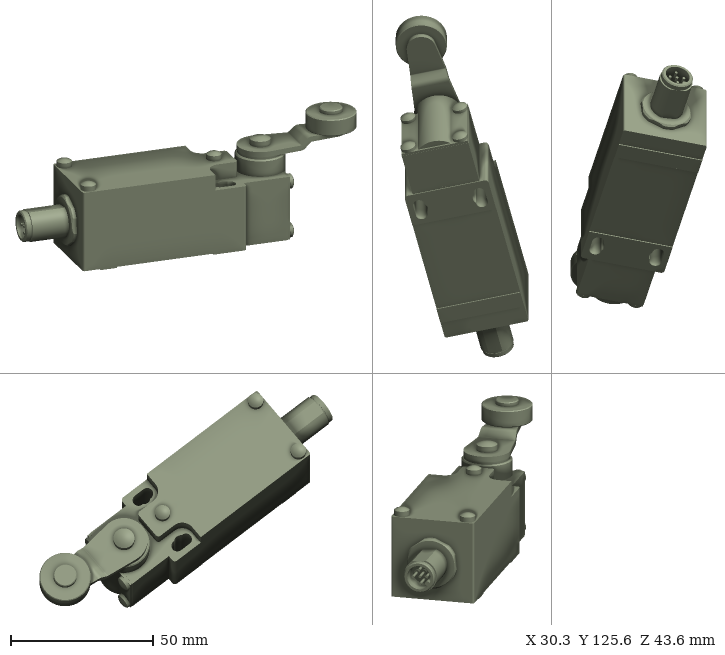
import cadquery as cq
import math


HOUSING_WIDTH = 30.3
HOUSING_LENGTH = 61.6
HOUSING_HEIGHT = 29.6
EDGE_RADIUS = 0.7
EAR_EDGE_RADIUS = 1.2
FOOT_HEIGHT = 0.4
EAR_FOOT_LENGTH = 12.6
STRIP_FOOT_LENGTH = 6.0
STRIP_FOOT_Y = 9.7

EAR_LENGTH = 11.9
TAB_WIDTH = 11.7
RECESS_RADIUS = 4.5
SLOT_X = 10.9
SLOT_Y = 54.9
SLOT_WIDTH = 4.2
SLOT_LENGTH = 8.1
SLOT_HOLE_X = 10.55
SLOT_HOLE_DIAMETER = 4.9

SCREW_RADIUS = 2.7
SCREW_SIDE = 1.9
SCREW_DOME = 0.95
COVER_SCREWS = [(-12.0, 3.1), (12.0, 3.1), (0.0, 54.8)]

HEAD_WIDTH = 24.1
HEAD_HEIGHT = 23.8
HEAD_START = 62.2
HEAD_END = 78.1
PLATE_THICKNESS = 0.9
PLATE_INSET = 0.1
PLATE_SCREW_SIDE = 1.2
POST_LENGTH = 2.7
POST_HEIGHT = 5.8
POST_WIDTH = (HEAD_WIDTH - TAB_WIDTH) / 2
COLLAR_RADIUS = 9.0
COLLAR_BOTTOM = 0.7
COLLAR_TOP = 30.0
COLLAR_CHAMFER = 0.4

HUB_Y = 72.2
LEVER_LENGTH = 26.6
ROLLER_Y = HUB_Y + LEVER_LENGTH
HUB_RADIUS = 8.3
WASHER_RADIUS = 8.1
TIP_RADIUS = 5.15
ARM_BOTTOM = 30.9
ARM_THICKNESS = 1.95
ARM_RISE = 2.65
BEND_START = 12.9
BEND_END = 15.9
BEND_OFFSET = 0.9
BEND_RADIUS = 2.4
INNER_BEND_RADIUS = BEND_RADIUS - ARM_THICKNESS
BOLT_RADIUS = 3.7
BOLT_SIDE = 2.1
BOLT_DOME = 1.0
ROLLER_RADIUS = 9.0
ROLLER_THICKNESS = 6.1
ROLLER_CHAMFER = 0.3
PIN_RADIUS = 4.1
LEVER_TOP = 43.6 - FOOT_HEIGHT

CONNECTOR_Z = 13.9
CONNECTOR_TILT = 6.0
NUT_THICKNESS = 1.9
NUT_RADIUS = 9.2
NUT_FLATS = 17.5
NUT_CHAMFER = 0.6
PLUG_RADIUS = 5.95
PLUG_FLATS = 10.8
PLUG_END = 15.5
PLUG_TIP = 17.8
NECK_RADIUS = 5.4
NECK_LENGTH = 0.5
TIP_RING_RADIUS = 5.6
TIP_CHAMFER = 0.4
SOCKET_RADIUS = 4.3
SOCKET_DEPTH = 7.0
CONTACT_RADIUS = 0.5
CONTACT_BASE_RADIUS = 1.05
CONTACT_BASE_HEIGHT = 1.0
CONTACT_CIRCLE_RADIUS = 2.5
CONTACT_LENGTH = 6.0
KEY_RADIUS = 0.85
KEY_CIRCLE_RADIUS = 3.6
KEY_ANGLE = -45.0


def block(x_min, x_max, y_min, y_max, z_min, z_max):
    """Box between the given limits."""
    size = (x_max - x_min, y_max - y_min, z_max - z_min)
    return cq.Workplane("XY").box(*size, centered=False).translate((x_min, y_min, z_min))


def centred_block(width, y_min, y_max, z_min, z_max):
    """Box that is symmetric about the middle plane."""
    return block(-width / 2, width / 2, y_min, y_max, z_min, z_max)


def disc(radius, x, y, z_min, z_max):
    """Upright cylinder."""
    return cq.Workplane("XY", origin=(x, y, z_min)).circle(radius).extrude(z_max - z_min)


def domed_stud(radius, side, dome):
    """Upright round head at the origin with a spherical top."""
    sphere_radius = (radius ** 2 + dome ** 2) / (2 * dome)
    half_radius = radius / 2
    half_height = side + dome - sphere_radius + math.sqrt(sphere_radius ** 2 - half_radius ** 2)
    return (
        cq.Workplane("XZ")
        .lineTo(radius, 0)
        .lineTo(radius, side)
        .threePointArc((half_radius, half_height), (0, side + dome))
        .close()
        .revolve(360, (0, 0, 0), (0, 1, 0))
    )


def ear_recess():
    """Open corner above the ear on the +X side."""
    recess_start = HOUSING_LENGTH - EAR_LENGTH
    recess = block(
        TAB_WIDTH / 2, HOUSING_WIDTH, recess_start, 2 * HOUSING_LENGTH, HEAD_HEIGHT, 2 * HOUSING_HEIGHT
    )
    inner_corner = cq.selectors.NearestToPointSelector((TAB_WIDTH / 2, recess_start, 1.5 * HOUSING_HEIGHT))
    return recess.edges(inner_corner).fillet(RECESS_RADIUS)


def ear_slot():
    """Mounting slot on the +X side, with a round hole at its middle."""
    slot = (
        cq.Workplane("XY", origin=(SLOT_X, SLOT_Y, 0))
        .slot2D(SLOT_LENGTH, SLOT_WIDTH, 90)
        .extrude(2 * HOUSING_HEIGHT, both=True)
    )
    hole = disc(SLOT_HOLE_DIAMETER / 2, SLOT_HOLE_X, SLOT_Y, -HOUSING_HEIGHT, 2 * HOUSING_HEIGHT)
    return slot.union(hole)


def joint_posts():
    """Four corner posts of the housing that reach into the actuator head."""
    posts = cq.Workplane("XY")
    inner = HEAD_WIDTH / 2 - POST_WIDTH
    for z in (0, HEAD_HEIGHT - POST_HEIGHT):
        post = block(inner, HEAD_WIDTH / 2, HEAD_START, HEAD_START + POST_LENGTH, z, z + POST_HEIGHT)
        posts = posts.add(post).add(post.mirror("YZ"))
    return posts.combine()


def make_housing():
    body = centred_block(HOUSING_WIDTH, 0, HOUSING_LENGTH, 0, HOUSING_HEIGHT)
    ear_foot = centred_block(
        HOUSING_WIDTH, HOUSING_LENGTH - EAR_FOOT_LENGTH, HOUSING_LENGTH, -FOOT_HEIGHT, 0
    )
    body = body.union(ear_foot)
    body = body.edges("|Z and <Y").fillet(EDGE_RADIUS)
    body = body.edges("|Z and >Y").fillet(EAR_EDGE_RADIUS)
    strip_foot = centred_block(
        HOUSING_WIDTH,
        STRIP_FOOT_Y - STRIP_FOOT_LENGTH / 2,
        STRIP_FOOT_Y + STRIP_FOOT_LENGTH / 2,
        -FOOT_HEIGHT,
        0,
    )
    body = body.union(strip_foot)
    recess = ear_recess()
    body = body.cut(recess).cut(recess.mirror("YZ"))
    tab_corners = cq.selectors.BoxSelector(
        (-HEAD_WIDTH / 2, HOUSING_LENGTH - EAR_EDGE_RADIUS, HEAD_HEIGHT),
        (HEAD_WIDTH / 2, HOUSING_LENGTH + EAR_EDGE_RADIUS, HOUSING_HEIGHT),
    )
    body = body.edges(tab_corners).edges("|Z").fillet(EAR_EDGE_RADIUS)
    body = body.union(centred_block(HEAD_WIDTH, HOUSING_LENGTH, HEAD_START, 0, HEAD_HEIGHT))
    body = body.union(joint_posts())
    slot = ear_slot()
    body = body.cut(slot).cut(slot.mirror("YZ"))
    for x, y in COVER_SCREWS:
        screw = domed_stud(SCREW_RADIUS, SCREW_SIDE, SCREW_DOME)
        body = body.union(screw.translate((x, y, HOUSING_HEIGHT)))
    return body


def make_head():
    body = centred_block(HEAD_WIDTH, HEAD_START, HEAD_END, 0, HEAD_HEIGHT).cut(joint_posts())
    plate_end = HEAD_END + PLATE_THICKNESS
    plate = centred_block(
        HEAD_WIDTH - 2 * PLATE_INSET, HEAD_END, plate_end, PLATE_INSET, HEAD_HEIGHT - PLATE_INSET
    )
    collar = disc(COLLAR_RADIUS, 0, HUB_Y, COLLAR_BOTTOM, COLLAR_TOP)
    collar = collar.faces(">Z").edges().chamfer(COLLAR_CHAMFER)
    body = body.union(plate).union(collar)
    screw = domed_stud(SCREW_RADIUS, PLATE_SCREW_SIDE, SCREW_DOME).rotate((0, 0, 0), (1, 0, 0), -90)
    screw_x = HEAD_WIDTH / 2 - SCREW_RADIUS
    for x in (-screw_x, screw_x):
        for z in (SCREW_RADIUS, HEAD_HEIGHT - SCREW_RADIUS):
            body = body.union(screw.translate((x, plate_end, z)))
    return body


def arm_outline():
    """Plan of the arm: hub and tip arcs joined by their common tangents."""
    sine = (HUB_RADIUS - TIP_RADIUS) / LEVER_LENGTH
    cosine = math.sqrt(1 - sine ** 2)
    hub_x = HUB_RADIUS * cosine
    hub_y = HUB_Y + HUB_RADIUS * sine
    tip_x = TIP_RADIUS * cosine
    tip_y = ROLLER_Y + TIP_RADIUS * sine
    return (
        cq.Workplane("XY")
        .moveTo(hub_x, hub_y)
        .lineTo(tip_x, tip_y)
        .threePointArc((0, ROLLER_Y + TIP_RADIUS), (-tip_x, tip_y))
        .lineTo(-hub_x, hub_y)
        .threePointArc((0, HUB_Y - HUB_RADIUS), (hub_x, hub_y))
        .close()
        .extrude(LEVER_TOP)
    )


def make_arm():
    """Flat arm with a step up to the roller, with rounded bends."""
    low_top = ARM_BOTTOM + ARM_THICKNESS
    start = HUB_Y - 2 * HUB_RADIUS
    end = ROLLER_Y + 2 * TIP_RADIUS
    upper_bend_y = HUB_Y + BEND_END
    lower_bend_y = HUB_Y + BEND_START + BEND_OFFSET
    side = (
        cq.Workplane("YZ")
        .moveTo(start, ARM_BOTTOM)
        .lineTo(lower_bend_y, ARM_BOTTOM)
        .lineTo(upper_bend_y + BEND_OFFSET, ARM_BOTTOM + ARM_RISE)
        .lineTo(end, ARM_BOTTOM + ARM_RISE)
        .lineTo(end, low_top + ARM_RISE)
        .lineTo(upper_bend_y, low_top + ARM_RISE)
        .lineTo(HUB_Y + BEND_START, low_top)
        .lineTo(start, low_top)
        .close()
        .extrude(HOUSING_WIDTH, both=True)
    )
    bends = [
        (upper_bend_y, low_top + ARM_RISE, BEND_RADIUS),
        (upper_bend_y + BEND_OFFSET, ARM_BOTTOM + ARM_RISE, INNER_BEND_RADIUS),
        (lower_bend_y, ARM_BOTTOM, BEND_RADIUS),
        (HUB_Y + BEND_START, low_top, INNER_BEND_RADIUS),
    ]
    for y, z, radius in bends:
        side = side.edges(cq.selectors.NearestToPointSelector((0, y, z))).fillet(radius)
    return side.intersect(arm_outline())


def make_lever():
    roller_bottom = ARM_BOTTOM + ARM_THICKNESS + ARM_RISE
    roller_top = roller_bottom + ROLLER_THICKNESS
    roller = disc(ROLLER_RADIUS, 0, ROLLER_Y, roller_bottom, roller_top)
    roller = roller.edges("%CIRCLE").chamfer(ROLLER_CHAMFER)
    pin = disc(PIN_RADIUS, 0, ROLLER_Y, roller_top, LEVER_TOP)
    pin = pin.faces(">Z").edges().chamfer(ROLLER_CHAMFER)
    washer = disc(WASHER_RADIUS, 0, HUB_Y, COLLAR_TOP, ARM_BOTTOM)
    bolt = domed_stud(BOLT_RADIUS, BOLT_SIDE, BOLT_DOME)
    bolt = bolt.translate((0, HUB_Y, ARM_BOTTOM + ARM_THICKNESS))
    return make_arm().union(washer).union(bolt).union(roller).union(pin)


def make_connector():
    """Nut, plug and contacts, built upright and then laid along -Y."""
    nut = disc(NUT_RADIUS, 0, 0, 0, NUT_THICKNESS).faces(">Z").edges().chamfer(NUT_CHAMFER)
    hexagon = (
        cq.Workplane("XY")
        .polygon(6, NUT_FLATS, circumscribed=True)
        .extrude(NUT_THICKNESS)
    )
    nut = nut.intersect(hexagon)
    flats = centred_block(2 * NUT_RADIUS, -PLUG_FLATS / 2, PLUG_FLATS / 2, NUT_THICKNESS, PLUG_END)
    plug = disc(PLUG_RADIUS, 0, 0, NUT_THICKNESS, PLUG_END).intersect(flats)
    neck = disc(NECK_RADIUS, 0, 0, PLUG_END, PLUG_END + NECK_LENGTH)
    tip = disc(TIP_RING_RADIUS, 0, 0, PLUG_END + NECK_LENGTH, PLUG_TIP)
    tip = tip.faces(">Z").edges().chamfer(TIP_CHAMFER)
    body = nut.union(plug).union(neck).union(tip)
    floor = PLUG_TIP - SOCKET_DEPTH
    body = body.cut(disc(SOCKET_RADIUS, 0, 0, floor, PLUG_TIP))
    key_x = KEY_CIRCLE_RADIUS * math.cos(math.radians(KEY_ANGLE))
    key_y = KEY_CIRCLE_RADIUS * math.sin(math.radians(KEY_ANGLE))
    body = body.union(disc(KEY_RADIUS, key_x, key_y, floor, floor + CONTACT_LENGTH))
    contacts = cq.Workplane("XY").polarArray(CONTACT_CIRCLE_RADIUS, 0, 360, 4).vals()
    places = [(0, 0)] + [contact.toTuple()[0][:2] for contact in contacts]
    for x, y in places:
        body = body.union(disc(CONTACT_BASE_RADIUS, x, y, floor, floor + CONTACT_BASE_HEIGHT))
        body = body.union(disc(CONTACT_RADIUS, x, y, floor, floor + CONTACT_LENGTH))
    body = body.rotate((0, 0, 0), (0, 0, 1), CONNECTOR_TILT)
    return body.rotate((0, 0, 0), (1, 0, 0), 90).translate((0, 0, CONNECTOR_Z))


housing = make_housing()
head = make_head()
lever = make_lever()
connector = make_connector()

result = cq.Compound.makeCompound([housing.val(), head.val(), lever.val(), connector.val()])